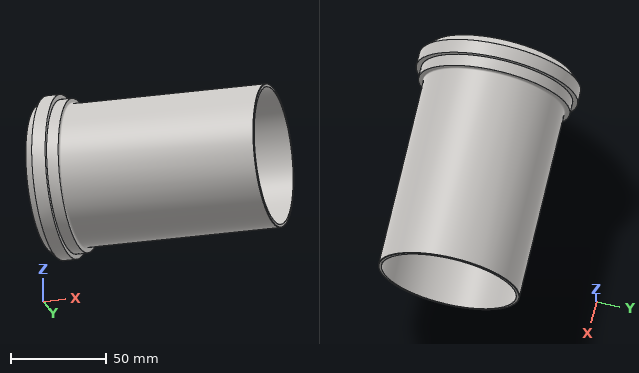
import cadquery as cq

bore_diameter = 72.9
tube_diameter = 76.3
shoulder_diameter = 82.0
collar_diameter = 87.5

collar_end = 12.1
shoulder_end = 18.5
tube_end = 124.6

bore_chamfer = 0.1
collar_chamfer = 4.7
root_fillet = 0.9
tube_end_chamfer = 0.2

bore_radius = bore_diameter / 2
tube_radius = tube_diameter / 2
shoulder_radius = shoulder_diameter / 2
collar_radius = collar_diameter / 2

wall_section = (
    cq.Workplane("XY")
    .moveTo(bore_chamfer, bore_radius)
    .lineTo(0, bore_radius + bore_chamfer)
    .lineTo(0, collar_radius - collar_chamfer)
    .lineTo(collar_chamfer, collar_radius)
    .lineTo(collar_end, collar_radius)
    .lineTo(collar_end, shoulder_radius)
    .lineTo(shoulder_end, shoulder_radius)
    .lineTo(shoulder_end, tube_radius + root_fillet)
    .radiusArc((shoulder_end + root_fillet, tube_radius), -root_fillet)
    .lineTo(tube_end - tube_end_chamfer, tube_radius)
    .lineTo(tube_end, tube_radius - tube_end_chamfer)
    .lineTo(tube_end, bore_radius)
    .close()
)

result = wall_section.revolve(360, (0, 0, 0), (1, 0, 0))